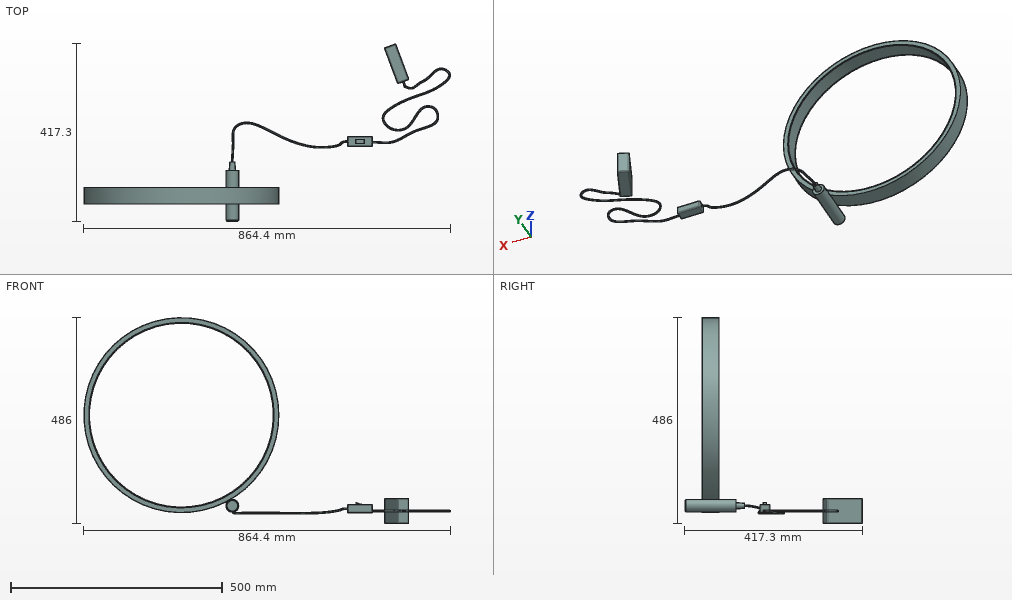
import cadquery as cq
import math


RING_OUTER_RADIUS = 230.0
RING_WALL = 11.0
RING_WIDTH = 40.0
DIFFUSER_THICKNESS = 2.2
DIFFUSER_INSET = 1.0
DIFFUSER_WIDTH = RING_WIDTH - 2 * DIFFUSER_INSET
DIFFUSER_OUTER_RADIUS = RING_OUTER_RADIUS - RING_WALL
DIFFUSER_INNER_RADIUS = DIFFUSER_OUTER_RADIUS - DIFFUSER_THICKNESS

BAR_DIAMETER = 30.0
BAR_RADIUS = BAR_DIAMETER / 2
BAR_LENGTH = 120.0
BAR_CHAMFER = 3.0
BAR_X = 120.0
BAR_Z = -math.sqrt((RING_OUTER_RADIUS + BAR_RADIUS) ** 2 - BAR_X ** 2)
BAR_REAR_Y = BAR_LENGTH / 2

SLEEVE_BASE_RADIUS = 8.0
SLEEVE_END_RADIUS = 6.0
SLEEVE_LENGTH = 20.0

CORD_RADIUS = 2.0
LAMP_CORD_Z = -231.0

ADAPTER_LENGTH = 90.0
ADAPTER_THICKNESS = 28.5
ADAPTER_HEIGHT = 60.0
ADAPTER_FILLET = 3.0
ADAPTER_TURN = 20.5
ADAPTER_X = 508.0
ADAPTER_Y = 311.0
ADAPTER_BOTTOM_Z = -256.0
ADAPTER_Z = ADAPTER_BOTTOM_Z + ADAPTER_HEIGHT / 2

SWITCH_LENGTH = 59.0
SWITCH_WIDTH = 24.0
SWITCH_HEIGHT = 20.0
SWITCH_FILLET = 3.0
SWITCH_X = 421.0
SWITCH_Y = 128.0
SWITCH_Z = -220.5

ROCKER_LENGTH = 19.0
ROCKER_WIDTH = 9.0
ROCKER_RISE = 5.0
ROCKER_MID_RISE = 1.3
POCKET_DEPTH = 3.0
POCKET_GAP = 1.0


def make_tube(outer_radius, inner_radius, width):
    profile = cq.Workplane("XZ", origin=(0, width / 2, 0))
    profile = profile.circle(outer_radius).circle(inner_radius)
    return profile.extrude(width)


def make_ring():
    return make_tube(RING_OUTER_RADIUS, DIFFUSER_OUTER_RADIUS, RING_WIDTH)


def make_diffuser():
    return make_tube(DIFFUSER_OUTER_RADIUS, DIFFUSER_INNER_RADIUS, DIFFUSER_WIDTH)


def make_foot_bar():
    front = cq.Workplane("XZ", origin=(BAR_X, -BAR_LENGTH / 2, BAR_Z))
    bar = front.circle(BAR_RADIUS).extrude(-BAR_LENGTH)
    bar = bar.faces("<Y").chamfer(BAR_CHAMFER)
    sleeve = cq.Solid.makeCone(
        SLEEVE_BASE_RADIUS,
        SLEEVE_END_RADIUS,
        SLEEVE_LENGTH,
        pnt=cq.Vector(BAR_X, BAR_REAR_Y, BAR_Z),
        dir=cq.Vector(0, 1, 0),
    )
    return bar.union(cq.Workplane(sleeve))


def make_cord(points, start_tangent, end_tangent):
    path = cq.Workplane("XY").spline(points, tangents=[start_tangent, end_tangent])
    profile = cq.Workplane(cq.Plane(origin=points[0], normal=start_tangent)).circle(CORD_RADIUS)
    return profile.sweep(path)


def make_lamp_cord():
    points = [
        (BAR_X, BAR_REAR_Y + SLEEVE_LENGTH, BAR_Z),
        (122.0, 129.0, -223.0),
        (126.0, 160.0, LAMP_CORD_Z),
        (143.0, 170.0, LAMP_CORD_Z),
        (190.0, 162.0, LAMP_CORD_Z),
        (245.0, 135.0, LAMP_CORD_Z),
        (307.0, 116.0, LAMP_CORD_Z),
        (348.5, 115.0, -228.0),
        (375.0, 122.0, -223.0),
        (SWITCH_X - SWITCH_LENGTH / 2, SWITCH_Y, SWITCH_Z),
    ]
    return make_cord(points, (0, 1, 0), (1, 0, 0))


def make_supply_cord():
    turn = math.radians(ADAPTER_TURN)
    heading = (-math.sin(turn), math.cos(turn), 0)
    half = ADAPTER_LENGTH / 2
    end = (ADAPTER_X - heading[0] * half, ADAPTER_Y - heading[1] * half)
    waypoints = [
        (SWITCH_X + SWITCH_LENGTH / 2, 126.0),
        (496.0, 126.0),
        (555.0, 154.0),
        (604.5, 182.5),
        (598.5, 204.0),
        (577.0, 210.0),
        (552.0, 186.0),
        (528.0, 158.0),
        (488.0, 163.0),
        (476.0, 183.0),
        (500.0, 210.0),
        (555.0, 235.0),
        (615.0, 263.0),
        (632.0, 287.0),
        (615.0, 299.0),
        (579.5, 276.0),
        (557.0, 262.0),
        (540.0, 253.0),
        (527.0, 258.0),
        end,
    ]
    points = [(x, y, ADAPTER_Z) for x, y in waypoints]
    return make_cord(points, (1, 0, 0), heading)


def make_adapter():
    box = cq.Workplane("XY").box(ADAPTER_THICKNESS, ADAPTER_LENGTH, ADAPTER_HEIGHT)
    box = box.edges().fillet(ADAPTER_FILLET)
    turned = box.rotate((0, 0, 0), (0, 0, 1), ADAPTER_TURN)
    return turned.translate((ADAPTER_X, ADAPTER_Y, ADAPTER_Z))


def make_rocker():
    top_z = SWITCH_HEIGHT / 2
    half = ROCKER_LENGTH / 2
    profile = (
        cq.Workplane("XZ", origin=(0, ROCKER_WIDTH / 2, 0))
        .moveTo(-half, top_z - POCKET_DEPTH)
        .lineTo(half, top_z - POCKET_DEPTH)
        .lineTo(half, top_z)
        .threePointArc((0, top_z + ROCKER_MID_RISE), (-half, top_z + ROCKER_RISE))
        .close()
    )
    return profile.extrude(ROCKER_WIDTH)


def make_switch():
    case = cq.Workplane("XY").box(SWITCH_LENGTH, SWITCH_WIDTH, SWITCH_HEIGHT)
    case = case.edges().fillet(SWITCH_FILLET)
    pocket = (
        cq.Workplane("XY", origin=(0, 0, SWITCH_HEIGHT / 2))
        .rect(ROCKER_LENGTH + 2 * POCKET_GAP, ROCKER_WIDTH + 2 * POCKET_GAP)
        .extrude(-POCKET_DEPTH)
    )
    switch = case.cut(pocket).union(make_rocker())
    return switch.translate((SWITCH_X, SWITCH_Y, SWITCH_Z))


result = cq.Compound.makeCompound([
    make_ring().val(),
    make_diffuser().val(),
    make_foot_bar().val(),
    make_lamp_cord().val(),
    make_switch().val(),
    make_supply_cord().val(),
    make_adapter().val(),
])